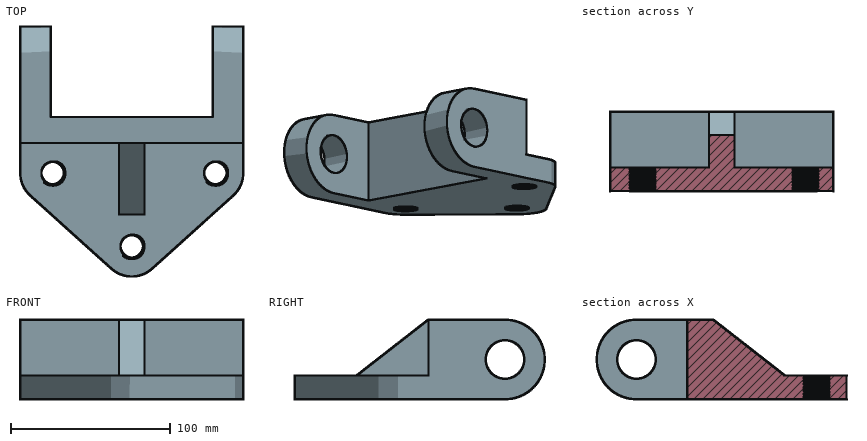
import cadquery as cq
import math

width = 140.0
length = 157.0
height = 50.0

plate_thickness = 15.0
corner_radius = 19.0
rear_corner_y = 65.0

arm_thickness = 19.3
wall_thickness = 16.3
wall_front_y = 83.8
eye_radius = height / 2
eye_y = length - eye_radius
pin_radius = 24.0 / 2

rib_width = 16.0
rib_length = 44.9

rear_hole_spacing = 102.0
rear_hole_offset = 1.4
hole_centres = [
    (rear_hole_offset - rear_hole_spacing / 2, rear_corner_y),
    (rear_hole_offset + rear_hole_spacing / 2, rear_corner_y),
    (0, corner_radius),
]
bore_radius = 14.0 / 2
thread_turns = 7.5
thread_pitch = plate_thickness / thread_turns
thread_depth = 1.0
thread_root_width = thread_pitch / 8
thread_angle = 60
thread_overlap = 0.2


def base_plate():
    """Plate whose three rounded corners share one radius."""
    rear_corner_x = width / 2 - corner_radius
    slope = math.atan2(rear_corner_y - corner_radius, rear_corner_x)
    tangent_x = corner_radius * math.sin(slope)
    tangent_y = corner_radius * math.cos(slope)
    middle_angle = math.pi / 4 - slope / 2
    middle_x = corner_radius * math.cos(middle_angle)
    middle_y = corner_radius * math.sin(middle_angle)
    return (
        cq.Workplane("XY")
        .moveTo(-width / 2, wall_front_y)
        .lineTo(-width / 2, rear_corner_y)
        .threePointArc(
            (-rear_corner_x - middle_x, rear_corner_y - middle_y),
            (-rear_corner_x - tangent_x, rear_corner_y - tangent_y),
        )
        .lineTo(-tangent_x, corner_radius - tangent_y)
        .threePointArc((0, 0), (tangent_x, corner_radius - tangent_y))
        .lineTo(rear_corner_x + tangent_x, rear_corner_y - tangent_y)
        .threePointArc(
            (rear_corner_x + middle_x, rear_corner_y - middle_y),
            (width / 2, rear_corner_y),
        )
        .lineTo(width / 2, wall_front_y)
        .close()
        .extrude(plate_thickness)
    )


def clevis():
    """Cross wall and both arms, with the pin hole through the arm eyes."""
    body = (
        cq.Workplane("YZ")
        .moveTo(wall_front_y, 0)
        .lineTo(eye_y, 0)
        .threePointArc((length, eye_radius), (eye_y, height))
        .lineTo(wall_front_y, height)
        .close()
        .extrude(width / 2, both=True)
    )
    gap_width = width - 2 * arm_thickness
    gap_start_y = wall_front_y + wall_thickness
    gap = (
        cq.Workplane("XY")
        .box(gap_width, length - gap_start_y, height, centered=(True, False, False))
        .translate((0, gap_start_y, 0))
    )
    pin_hole = (
        cq.Workplane("YZ")
        .center(eye_y, eye_radius)
        .circle(pin_radius)
        .extrude(width / 2, both=True)
    )
    return body.cut(gap).cut(pin_hole)


def rib():
    """Triangular rib from the top of the cross wall down to the plate."""
    return (
        cq.Workplane("YZ")
        .moveTo(wall_front_y, plate_thickness)
        .lineTo(wall_front_y - rib_length, plate_thickness)
        .lineTo(wall_front_y, height)
        .close()
        .extrude(rib_width / 2, both=True)
    )


def thread_groove():
    """Right-handed thread groove on the Z axis, centred at +X on the plate's top face.

    It runs at least one pitch past both faces of the plate.
    """
    turns = math.ceil(thread_turns) + 2
    start_z = plate_thickness + thread_pitch - turns * thread_pitch
    helix = cq.Wire.makeHelix(thread_pitch, turns * thread_pitch, bore_radius)
    inner_radius = bore_radius - thread_overlap
    root_radius = bore_radius + thread_depth
    half_root = thread_root_width / 2
    flank_slope = math.tan(math.radians(thread_angle / 2))
    half_opening = half_root + (root_radius - inner_radius) * flank_slope
    return (
        cq.Workplane("XZ")
        .moveTo(inner_radius, -half_opening)
        .lineTo(root_radius, -half_root)
        .lineTo(root_radius, half_root)
        .lineTo(inner_radius, half_opening)
        .close()
        .sweep(cq.Workplane(helix), isFrenet=True)
        .translate((0, 0, start_z))
    )


result = base_plate().union(clevis()).union(rib())

groove = thread_groove()
bore = cq.Workplane("XY").circle(bore_radius).extrude(plate_thickness)
for x, y in hole_centres:
    result = result.cut(groove.translate((x, y, 0)))
    result = result.cut(bore.translate((x, y, 0)))